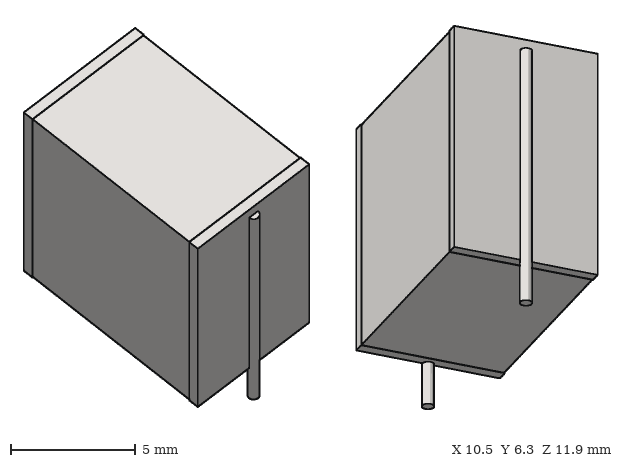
import cadquery as cq

body_length = 10.0
body_width = 6.3
body_height = 10.0
plate_thickness = 0.5
core_inset = 0.02

lead_diameter = 0.5
lead_top_drop = 0.5
lead_protrusion = 1.9


def make_core():
    core_length = body_length - 2 * plate_thickness
    core_width = body_width - 2 * core_inset
    core_height = body_height - 2 * core_inset
    return (
        cq.Workplane("XY")
        .workplane(offset=core_inset)
        .rect(core_length, core_width)
        .extrude(core_height)
    )


def make_end_plate(side):
    plate_center = side * (body_length - plate_thickness) / 2
    return (
        cq.Workplane("XY")
        .center(plate_center, 0)
        .rect(plate_thickness, body_width)
        .extrude(body_height)
    )


def make_lead(side):
    lead_length = body_height - lead_top_drop + lead_protrusion
    return (
        cq.Workplane("XY")
        .workplane(offset=-lead_protrusion)
        .center(side * body_length / 2, 0)
        .circle(lead_diameter / 2)
        .extrude(lead_length)
    )


result = make_core()
for side in (-1, 1):
    result = result.union(make_end_plate(side))
    result = result.union(make_lead(side))